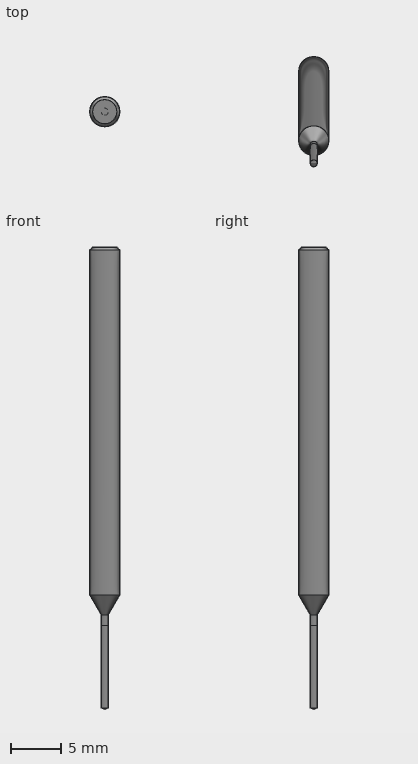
import cadquery as cq
import math

total_length = 46.0
shank_diameter = 3.0
end_chamfer = 0.3
shank_bottom = 11.4
cone_half_angle = 30.0

neck_diameter = 0.7
neck_bottom = 8.35
drill_diameter = 0.7
point_angle = 130.0

shank_radius = shank_diameter / 2
neck_radius = neck_diameter / 2
drill_radius = drill_diameter / 2
cone_height = (shank_radius - neck_radius) / math.tan(math.radians(cone_half_angle))
cone_bottom = shank_bottom - cone_height
point_height = drill_radius / math.tan(math.radians(point_angle / 2))


def turned(outline):
    """Revolve a closed outline of (radius, z) points about the Z axis, starting on the -Y side."""
    points = [(-radius, z) for radius, z in outline]
    return cq.Workplane("YZ").polyline(points).close().revolve(360, (0, 0), (0, 1))


def make_shank():
    return turned([
        (0, neck_bottom),
        (neck_radius, neck_bottom),
        (neck_radius, cone_bottom),
        (shank_radius, shank_bottom),
        (shank_radius, total_length - end_chamfer),
        (shank_radius - end_chamfer, total_length),
        (0, total_length),
    ])


def make_drill():
    return turned([
        (0, 0),
        (drill_radius, point_height),
        (drill_radius, neck_bottom),
        (0, neck_bottom),
    ])


shank = make_shank()
drill = make_drill()
result = cq.Compound.makeCompound([shank.val(), drill.val()])